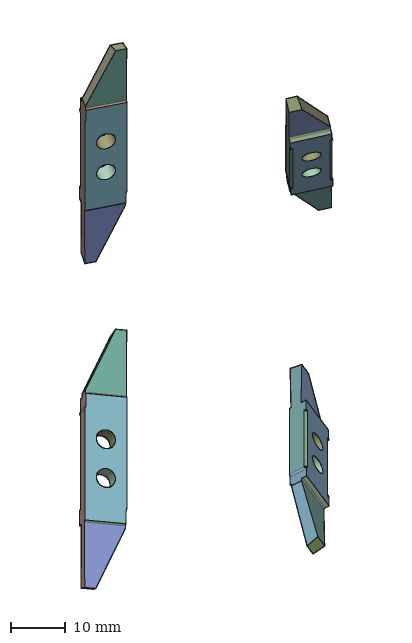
import cadquery as cq
import math

thickness = 3.6
width = 8.0
length = 50.5

body_length = 24.5
front_x = -thickness / 2
back_x = thickness / 2
half_width = width / 2
half_length = length / 2
half_body = body_length / 2

blade_length = half_length - half_body
front_step = 1.11
back_step = 0.32
draft_angle = 0.8
tip_bevel_angle = 15.0
root_fillet = 0.3

relief_depth = 0.17
relief_ramp_length = 0.6
relief_z = 9.25
slope_start_z = 13.0
slope_angle = 25.0

chamfer_size = 0.5
chamfer_length = 2 * relief_z

hole_diameter = 3.6
hole_spacing = 7.5


def tangent(degrees):
    return math.tan(math.radians(degrees))


def half_turn(points):
    """Outline points turned half way round the X axis, as seen in the YZ plane."""
    return [(-y, -z) for y, z in points]


def make_thickness_profile():
    """Stepped, tapered XZ section, extruded over the whole width."""
    draft_rise = blade_length * tangent(draft_angle)
    front_root_x = front_x + front_step
    back_root_x = back_x - back_step
    front_tip_x = front_root_x - draft_rise
    back_tip_x = back_root_x + draft_rise
    bevel_drop = (back_tip_x - front_tip_x) * tangent(tip_bevel_angle)

    upper_points = [
        (front_x, half_body),
        (front_root_x, half_body),
        (front_tip_x, half_length - bevel_drop),
        (back_tip_x, half_length),
        (back_root_x, half_body),
        (back_x, half_body),
    ]
    lower_points = [(x, -z) for x, z in reversed(upper_points)]
    profile = (
        cq.Workplane("XZ")
        .polyline(upper_points + lower_points)
        .close()
        .extrude(half_width, both=True)
    )

    for x in (front_root_x, back_root_x):
        for z in (-half_body, half_body):
            root_edge = cq.selectors.NearestToPointSelector((x, 0, z))
            profile = profile.edges(root_edge).fillet(root_fillet)
    return profile


def make_side_outline():
    """YZ outline with the relieved and sloped edges, extruded over the thickness."""
    relieved_y = -half_width + relief_depth
    tip_y = relieved_y + (half_length - slope_start_z) * tangent(slope_angle)

    upper_points = [
        (-half_width, relief_z),
        (relieved_y, relief_z + relief_ramp_length),
        (relieved_y, slope_start_z),
        (tip_y, half_length),
        (half_width, half_length),
    ]
    return (
        cq.Workplane("YZ")
        .polyline(upper_points + half_turn(upper_points))
        .close()
        .extrude(thickness / 2, both=True)
    )


def make_edge_chamfer(side):
    """Triangular bar that bevels one long edge of the front face; side is -1 or 1."""
    edge_y = side * half_width
    return (
        cq.Workplane("XY")
        .workplane(offset=-chamfer_length / 2)
        .moveTo(front_x, edge_y)
        .lineTo(front_x + chamfer_size, edge_y)
        .lineTo(front_x, edge_y - side * chamfer_size)
        .close()
        .extrude(chamfer_length)
    )


def make_holes():
    """Two round bars along X for the mounting holes."""
    return (
        cq.Workplane("YZ")
        .pushPoints([(0, -hole_spacing / 2), (0, hole_spacing / 2)])
        .circle(hole_diameter / 2)
        .extrude(thickness, both=True)
    )


result = make_thickness_profile().intersect(make_side_outline())
for side in (-1, 1):
    result = result.cut(make_edge_chamfer(side))
result = result.cut(make_holes())